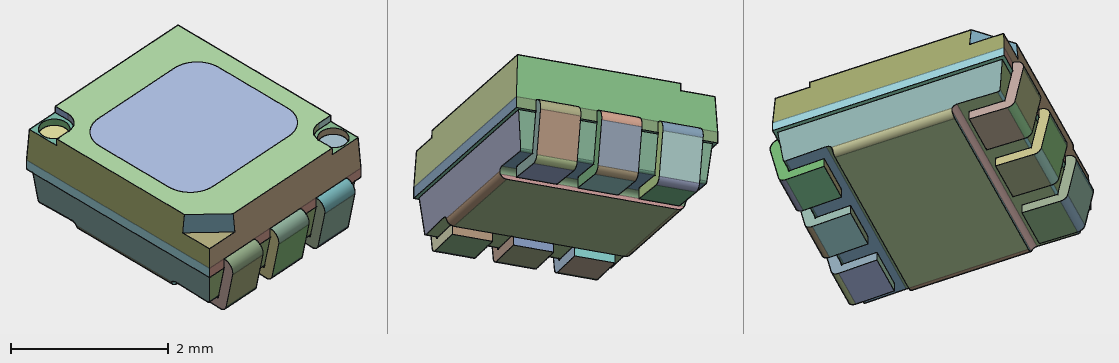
import cadquery as cq
import math


total_length = 3.5
total_height = 1.45

band_length = 3.2
band_width = 2.8
band_bottom = 0.7
band_top = 0.85
upper_draft = 3.0
base_length = 3.1
base_width = 2.695
base_draft = 6.0
base_bottom = 0.05
base_edge_radius = 0.1

pad_length = 1.652
relief_root_height = 0.182
relief_root_radius = 0.077
relief_rim_radius = 0.035

corner_pocket_size = 0.5
corner_pocket_depth = 0.1
corner_hole_diameter = 0.4
corner_hole_depth = 0.1
notch_leg = 0.5
notch_depth = 0.298

window_length = 2.002
window_width = 2.198
window_corner_radius = 0.4
window_depth = 0.5

lead_thickness = (total_length - band_length) / 2
lead_top = 0.847
lead_width = 0.56
lead_pitch = 0.85
leads_per_side = 3
leg_lean = 11.0
foot_rise = 1.9
heel_radius = 0.1
toe_x = 1.0

half_band_length = band_length / 2
half_band_width = band_width / 2
half_pad_length = pad_length / 2


def upper_part():
    return (
        cq.Workplane("XY", origin=(0, 0, band_top))
        .rect(band_length, band_width)
        .extrude(total_height - band_top, taper=upper_draft)
    )


def band():
    return (
        cq.Workplane("XY", origin=(0, 0, band_bottom))
        .rect(band_length, band_width)
        .extrude(band_top - band_bottom)
    )


def foot_relief(side):
    """Cutter for the clearance over the feet on one side (-1 or +1); its roof is parallel to them."""
    slope = math.tan(math.radians(foot_rise))
    roof_start = half_pad_length + relief_root_radius
    outer_roof_height = relief_root_height - slope * (half_band_length - roof_start)
    arc_centre_z = relief_root_height - relief_root_radius
    arc_offset = relief_root_radius * math.sqrt(0.5)
    return (
        cq.Workplane("XZ")
        .moveTo(side * half_pad_length, 0)
        .lineTo(side * half_pad_length, arc_centre_z)
        .threePointArc(
            (side * (roof_start - arc_offset), arc_centre_z + arc_offset),
            (side * roof_start, relief_root_height),
        )
        .lineTo(side * half_band_length, outer_roof_height)
        .lineTo(side * half_band_length, 0)
        .close()
        .extrude(half_band_width, both=True)
    )


def base():
    body = (
        cq.Workplane("XY", origin=(0, 0, band_bottom))
        .rect(base_length, base_width)
        .extrude(-(band_bottom - base_bottom), taper=base_draft)
        .faces("<Z")
        .edges("|X")
        .fillet(base_edge_radius)
    )
    for side in (-1, 1):
        body = body.cut(foot_relief(side))
    for end_wall in ("<X", ">X"):
        body = body.faces(end_wall).edges("<Z").fillet(relief_rim_radius)
    return body


def corner_pocket(side):
    """Cutter for a corner pocket and its round hole, at (-X, -Y) for side -1 or (+X, +Y) for +1."""
    inner_corner = "<X and <Y" if side > 0 else ">X and >Y"
    radius = corner_pocket_size / 2
    centre_x = side * (half_band_length - radius)
    centre_y = side * (half_band_width - radius)
    pocket_floor = total_height - corner_pocket_depth
    pocket = (
        cq.Workplane("XY", origin=(centre_x, centre_y, pocket_floor))
        .rect(corner_pocket_size, corner_pocket_size)
        .extrude(corner_pocket_depth)
        .edges("|Z")
        .edges(inner_corner)
        .fillet(radius)
    )
    hole = (
        cq.Workplane("XY", origin=(centre_x, centre_y, pocket_floor - corner_hole_depth))
        .circle(corner_hole_diameter / 2)
        .extrude(corner_hole_depth)
    )
    return pocket.union(hole)


def polarity_notch():
    return (
        cq.Workplane("XY", origin=(half_band_length, -half_band_width, total_height - notch_depth))
        .polyline([(0, 0), (0, notch_leg), (-notch_leg, 0)])
        .close()
        .extrude(notch_depth)
    )


def make_window():
    return (
        cq.Workplane("XY", origin=(0, 0, total_height - window_depth))
        .rect(window_length, window_width)
        .extrude(window_depth)
        .edges("|Z")
        .fillet(window_corner_radius)
    )


def make_housing():
    body = band().union(upper_part()).union(base()).cut(polarity_notch()).cut(make_window())
    for side in (-1, 1):
        body = body.cut(corner_pocket(side))
    return body


def make_lead(side, centre_y):
    """Lead bent down from the band on one side (-1 or +1), with its foot turned under the housing."""
    lean = math.radians(leg_lean)
    rise = math.radians(foot_rise)

    shoulder_z = lead_top - lead_thickness
    shoulder_middle = (math.pi / 2 - lean) / 2
    shoulder_middle_x = half_band_length + lead_thickness * math.cos(shoulder_middle)
    shoulder_middle_z = shoulder_z + lead_thickness * math.sin(shoulder_middle)
    leg_x = half_band_length + lead_thickness * math.cos(lean)
    leg_z = shoulder_z - lead_thickness * math.sin(lean)

    heel_start_z = heel_radius * (1 - math.sin(lean))
    heel_start_x = leg_x - (leg_z - heel_start_z) * math.tan(lean)
    heel_x = heel_start_x - heel_radius * math.cos(lean)
    heel_middle = (lean + math.pi / 2 + rise) / 2
    heel_middle_x = heel_x + heel_radius * math.cos(heel_middle)
    heel_middle_z = heel_radius * (1 - math.sin(heel_middle))
    heel_end_x = heel_x - heel_radius * math.sin(rise)
    heel_end_z = heel_radius * (1 - math.cos(rise))

    toe_bottom = heel_end_z + (heel_end_x - toe_x) * math.tan(rise)
    toe_top = toe_bottom + lead_thickness / math.cos(rise)
    leg_drop = (shoulder_z - toe_top + (half_band_length - toe_x) * math.tan(rise)) / (
        1 + math.tan(lean) * math.tan(rise)
    )
    inner_corner_x = half_band_length - leg_drop * math.tan(lean)
    inner_corner_z = shoulder_z - leg_drop

    return (
        cq.Workplane("XZ", origin=(0, centre_y, 0))
        .moveTo(side * half_band_length, shoulder_z)
        .lineTo(side * half_band_length, lead_top)
        .threePointArc((side * shoulder_middle_x, shoulder_middle_z), (side * leg_x, leg_z))
        .lineTo(side * heel_start_x, heel_start_z)
        .threePointArc((side * heel_middle_x, heel_middle_z), (side * heel_end_x, heel_end_z))
        .lineTo(side * toe_x, toe_bottom)
        .lineTo(side * toe_x, toe_top)
        .lineTo(side * inner_corner_x, inner_corner_z)
        .close()
        .extrude(lead_width / 2, both=True)
    )


housing = make_housing()
window = make_window()

leads = []
for lead_side in (-1, 1):
    for index in range(leads_per_side):
        lead_y = (index - (leads_per_side - 1) / 2) * lead_pitch
        leads.append(make_lead(lead_side, lead_y).val())

result = cq.Compound.makeCompound([*housing.solids().vals(), *window.solids().vals(), *leads])